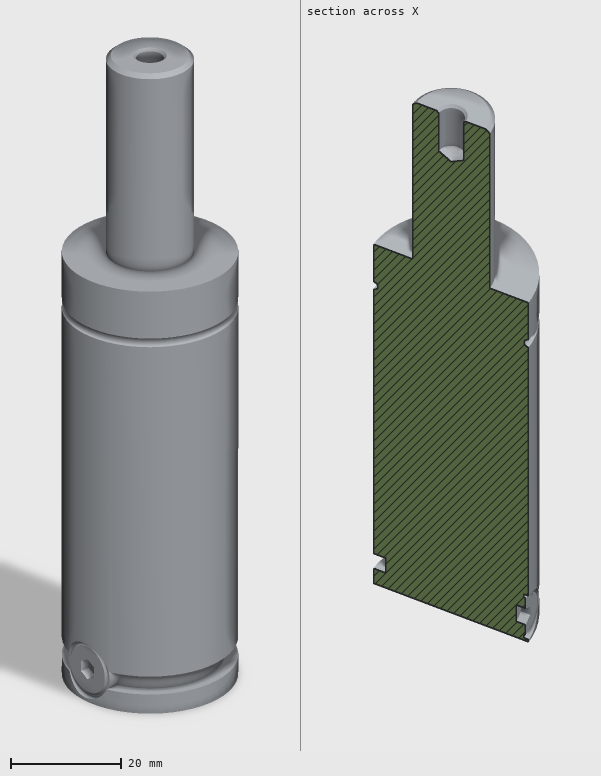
import cadquery as cq
import math

body_diameter = 32.0
body_radius = body_diameter / 2
total_height = 126.0
rod_length = 40.0
body_height = total_height - rod_length

rod_diameter = body_diameter / 2
rod_chamfer_width = 0.9
rod_chamfer_height = 0.8
rod_hole_diameter = 5.0
rod_hole_mouth_diameter = 6.0
rod_hole_depth = 10.1
drill_point_angle = 118.0

cap_height = 9.6
round_groove_radius = 0.9
round_groove_z = body_height - cap_height - round_groove_radius

base_flange_height = 3.9
retaining_groove_width = 3.7
retaining_groove_diameter = 27.1

plug_z = 6.2
plug_root_y = -10.1
collar_diameter = 11.0
collar_face_y = -15.0
head_diameter = 10.0
head_face_y = -15.4
head_chamfer = 0.4
hex_across_flats = 3.5
hex_depth = 1.9


def make_body():
    """Body with its rounded groove and its retaining groove, as one revolved profile."""
    groove_floor = retaining_groove_diameter / 2
    groove_top = base_flange_height + retaining_groove_width
    return (
        cq.Workplane("XZ")
        .lineTo(body_radius, 0)
        .lineTo(body_radius, base_flange_height)
        .lineTo(groove_floor, base_flange_height)
        .lineTo(groove_floor, groove_top)
        .lineTo(body_radius, groove_top)
        .lineTo(body_radius, round_groove_z - round_groove_radius)
        .threePointArc(
            (body_radius - round_groove_radius, round_groove_z),
            (body_radius, round_groove_z + round_groove_radius),
        )
        .lineTo(body_radius, body_height)
        .lineTo(0, body_height)
        .close()
        .revolve(360, (0, 0), (0, 1))
    )


def make_rod():
    """Rod with a chamfered tip and a countersunk, cone-bottomed hole, as one revolved profile."""
    rod_radius = rod_diameter / 2
    hole_radius = rod_hole_diameter / 2
    mouth_radius = rod_hole_mouth_diameter / 2
    countersink_depth = mouth_radius - hole_radius
    hole_floor = total_height - rod_hole_depth
    drill_point = hole_radius / math.tan(math.radians(drill_point_angle / 2))
    return (
        cq.Workplane("XZ")
        .moveTo(0, round_groove_z)
        .lineTo(rod_radius, round_groove_z)
        .lineTo(rod_radius, total_height - rod_chamfer_height)
        .lineTo(rod_radius - rod_chamfer_width, total_height)
        .lineTo(mouth_radius, total_height)
        .lineTo(hole_radius, total_height - countersink_depth)
        .lineTo(hole_radius, hole_floor)
        .lineTo(0, hole_floor - drill_point)
        .close()
        .revolve(360, (0, 0), (0, 1))
    )


def front_cylinder(diameter, outer_y):
    """Cylinder on the plug axis, running along Y from the plug root out to outer_y."""
    return (
        cq.Workplane("XZ", origin=(0, plug_root_y, plug_z))
        .circle(diameter / 2)
        .extrude(plug_root_y - outer_y)
    )


def make_plug():
    """Plug collar and chamfered head, with a hexagon socket whose corners point up and down."""
    collar = front_cylinder(collar_diameter, collar_face_y)
    head = front_cylinder(head_diameter, head_face_y).faces("<Y").chamfer(head_chamfer)
    hex_corner_diameter = hex_across_flats / math.cos(math.pi / 6)
    socket = (
        cq.Workplane("XZ", origin=(0, head_face_y, plug_z))
        .transformed(rotate=(0, 0, 90))
        .polygon(6, hex_corner_diameter)
        .extrude(-hex_depth)
    )
    return collar.union(head).cut(socket)


plug_bore = front_cylinder(collar_diameter, -body_radius)
result = make_body().union(make_rod()).cut(plug_bore).union(make_plug())